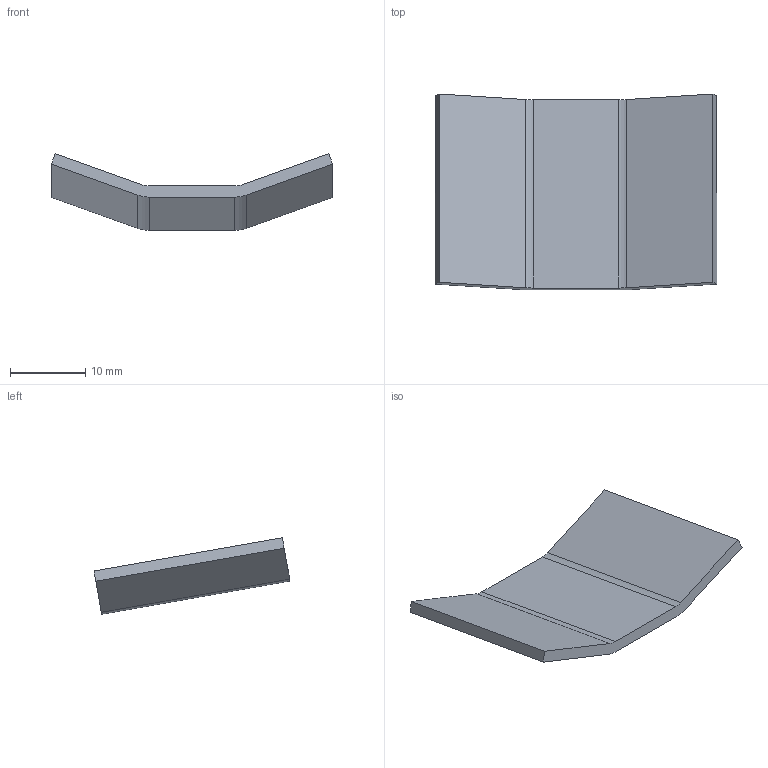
import cadquery as cq
import math

plate_length = 25.41
thickness = 1.5
center_flat_width = 11.34
wing_flat_width = 12.21
bend_inner_radius = 3.0
bend_angle = 20.0
tilt_angle = 10.0

bend_outer_radius = bend_inner_radius + thickness
bend_center_x = center_flat_width / 2
bend_center_z = bend_outer_radius


def bend_point(radius, angle_deg):
    """Point on the right-hand bend, with the angle counted from its bottom."""
    angle = math.radians(angle_deg)
    return (
        bend_center_x + radius * math.sin(angle),
        bend_center_z - radius * math.cos(angle),
    )


def wing_tip(radius):
    """Free-edge corner of the right-hand wing on the face tangent to the radius."""
    x, z = bend_point(radius, bend_angle)
    angle = math.radians(bend_angle)
    return (x + wing_flat_width * math.cos(angle), z + wing_flat_width * math.sin(angle))


def mirrored(point):
    """Matching point on the left-hand side."""
    return (-point[0], point[1])


def plate_profile():
    """Closed cross-section in XZ: lower face left to right, then upper face back."""
    lower = [bend_point(bend_outer_radius, a) for a in (0, bend_angle / 2, bend_angle)]
    upper = [bend_point(bend_inner_radius, a) for a in (0, bend_angle / 2, bend_angle)]
    lower_tip = wing_tip(bend_outer_radius)
    upper_tip = wing_tip(bend_inner_radius)
    return (
        cq.Workplane("XZ")
        .moveTo(*mirrored(lower_tip))
        .lineTo(*mirrored(lower[2]))
        .threePointArc(mirrored(lower[1]), mirrored(lower[0]))
        .lineTo(*lower[0])
        .threePointArc(lower[1], lower[2])
        .lineTo(*lower_tip)
        .lineTo(*upper_tip)
        .lineTo(*upper[2])
        .threePointArc(upper[1], upper[0])
        .lineTo(*mirrored(upper[0]))
        .threePointArc(mirrored(upper[1]), mirrored(upper[2]))
        .lineTo(*mirrored(upper_tip))
        .close()
    )


level_plate = plate_profile().extrude(plate_length / 2, both=True)
result = level_plate.rotate((0, 0, 0), (1, 0, 0), -tilt_angle)